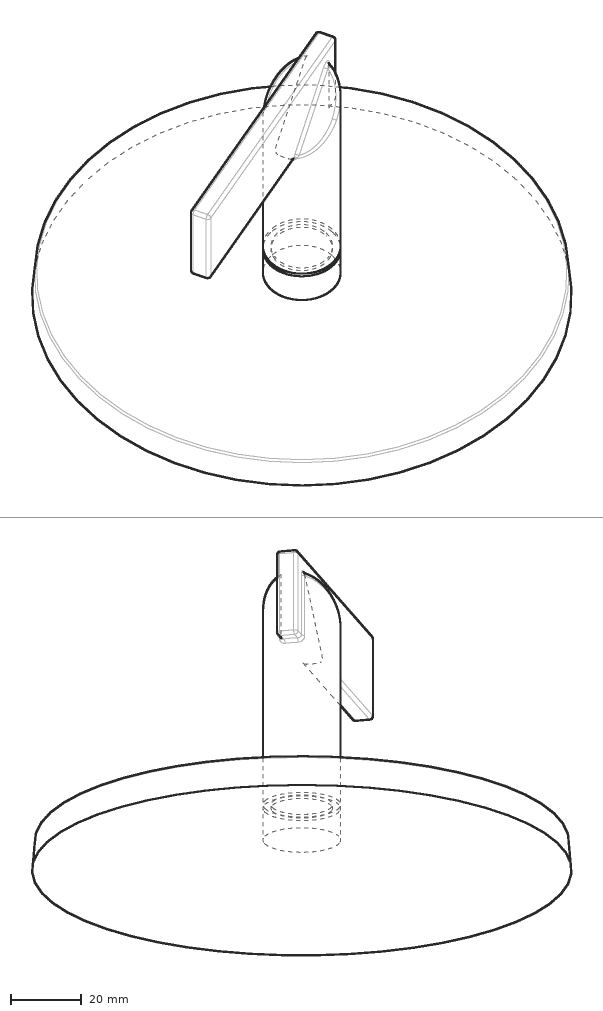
import cadquery as cq

plate_diameter = 152.4
plate_thickness = 9.0
plate_draft_inset = 0.8
plate_edge_round = 0.6

post_diameter = 22.0
neck_diameter = 17.4
collar_height = 9.5
neck_height = 1.0

blade_thickness = 6.1
blade_height = 25.0
slope_drop = 0.2
blade_back = 16.0
blade_front = -65.0
lever_round = 1.0
seam_margin = 0.2

total_height = 90.2
collar_top = plate_thickness + collar_height
post_bottom = collar_top + neck_height
blade_bottom = total_height - blade_height
post_radius = post_diameter / 2
slope_bottom = blade_bottom - slope_drop
slope_top = slope_bottom + post_diameter


def make_plate():
    bottom_radius = plate_diameter / 2
    top_radius = bottom_radius - plate_draft_inset
    profile = [(0, 0), (bottom_radius, 0), (top_radius, plate_thickness), (0, plate_thickness)]
    plate = cq.Workplane("XZ").polyline(profile).close().revolve(360, (0, 0), (0, 1))
    return plate.faces(">Z").edges().fillet(plate_edge_round)


def make_cylinder(diameter, bottom, top):
    return cq.Workplane("XY").workplane(offset=bottom).circle(diameter / 2).extrude(top - bottom)


def make_post():
    """Post whose top is cut at 45 degrees, low at the front, with a rounded rim."""
    post = make_cylinder(post_diameter, post_bottom, slope_top)
    waste = (
        cq.Workplane("YZ")
        .polyline([
            (-post_radius, slope_bottom),
            (post_radius, slope_top),
            (-post_radius, slope_top),
        ])
        .close()
        .extrude(post_radius, both=True)
    )
    return post.cut(waste).faces(">(0, -1, 1)").edges().fillet(lever_round)


def make_blade():
    blade = (
        cq.Workplane("XY")
        .box(blade_thickness, blade_back - blade_front, blade_height)
        .translate((0, (blade_back + blade_front) / 2, blade_bottom + blade_height / 2))
    )
    return blade.edges().fillet(lever_round)


def make_lever():
    """Post and blade as one body, with a fillet along the seam where they meet."""
    lever = make_post().union(make_blade())
    reach_x = blade_thickness / 2 + seam_margin
    reach_y = post_radius + seam_margin
    seam = cq.selectors.BoxSelector(
        (-reach_x, -reach_y, blade_bottom - post_radius),
        (reach_x, reach_y, slope_top),
        boundingbox=True,
    )
    return lever.edges(seam).fillet(lever_round)


collar = make_cylinder(post_diameter, plate_thickness, collar_top)
neck = make_cylinder(neck_diameter, collar_top, post_bottom)
result = make_plate().union(collar).union(neck).union(make_lever())